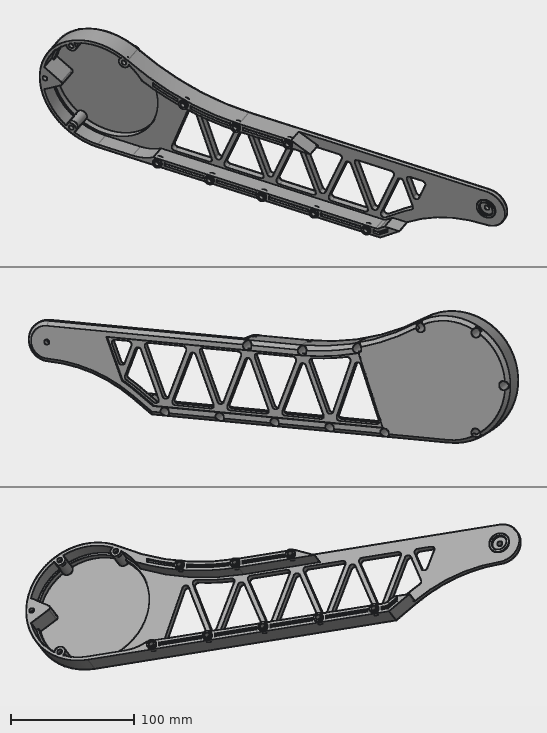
import cadquery as cq
import math


total_length = 419.5
disc_diameter = 106.0
disc_radius = disc_diameter / 2
pivot_span = 349.5
tip_radius = total_length - disc_radius - pivot_span
neck_radius = 197.0
belly_radius = 125.0
belly_angle = math.radians(36)

plate_depth = 7.5
rim_depth = 21.0
boss_depth = 23.0
floor_depth = 2.0
rear_chamfer = 3.5

arm_wall = 8.0
disc_wall = 3.0
pocket_radius = 48.2
relief_flat_end = 32.0
relief_end = 51.0
top_wall_end = 177.5
top_wall_taper = 17.5
ramp_inner_fillet = 6.0
bottom_wall_top = -40.3

screw_pitch = 48.0
first_screw_x = 55.5
bottom_screw_count = 5
top_screw_count = 3
boss_radius = 3.8
hole_radius = 2.0
head_bore_radius = 3.8
head_seat = 4.0
disc_screw_circle = 48.2
disc_boss_radius = 4.5
disc_screw_angles = (60, 120, 240)

pad_tip_x = -30.5
pad_half_angle = math.radians(58)
pad_tip_fillet = 2.0

groove_width = 2.5
groove_depth = 2.5
groove_gap = 6.0
first_top_groove_x = 50.8
ramp_groove_end_x = 266.0

strut_width = 4.0
window_margin = 10.0
window_fillet = 2.73
top_node_count = 5
truss_recess = 1.5
small_window_tip = (285.0, -18.5)

pivot_boss_radius = 8.5
pivot_boss_height = 1.3
pivot_seat_radius = 6.5
pivot_seat_depth = 2.0

neck_centre_z = tip_radius + neck_radius
neck_centre_x = math.sqrt((disc_radius + neck_radius) ** 2 - neck_centre_z ** 2)
belly_centre_z = -tip_radius - belly_radius


def plane_at(depth):
    """Sketch plane facing the front, at a depth from the rear face."""
    return cq.Workplane("XZ").workplane(offset=depth)


def cylinder(x, z, radius, start, end):
    return plane_at(start).center(x, z).circle(radius).extrude(end - start)


def neck_z(x, inset):
    """Height of the top edge, moved inward by inset, at a given x."""
    if x >= neck_centre_x:
        return tip_radius - inset
    return neck_centre_z - math.sqrt((neck_radius + inset) ** 2 - (neck_centre_x - x) ** 2)


def belly_point(angle, inset):
    radius = belly_radius + inset
    return (pivot_span - radius * math.sin(angle), belly_centre_z + radius * math.cos(angle))


def ramp_foot(inset):
    """Corner between the straight bottom edge and the ramp."""
    bottom = -disc_radius + inset
    x, z = belly_point(belly_angle, inset)
    return (x - (z - bottom) / math.tan(belly_angle), bottom)


def outline(inset, start, end):
    """Prism of the arm outline, moved inward by inset."""
    radius = disc_radius - inset
    tip = tip_radius - inset
    lean = math.atan2(neck_centre_x, neck_centre_z)
    disc_end = (radius * math.sin(lean), radius * math.cos(lean))
    neck_mid = (neck_centre_x - (neck_radius + inset) * math.sin(lean / 2),
                neck_centre_z - (neck_radius + inset) * math.cos(lean / 2))
    return (
        plane_at(start)
        .moveTo(0, -radius)
        .threePointArc((-radius, 0), disc_end)
        .threePointArc(neck_mid, (neck_centre_x, tip))
        .lineTo(pivot_span, tip)
        .threePointArc((pivot_span + tip, 0), (pivot_span, -tip))
        .threePointArc(belly_point(belly_angle / 2, inset), belly_point(belly_angle, inset))
        .lineTo(*ramp_foot(inset))
        .close()
        .extrude(end - start)
    )


def screw_x(index):
    """Screw columns sit half a pitch apart, alternating bottom and top."""
    return first_screw_x + index * screw_pitch / 2


def bottom_node(i):
    return (screw_x(2 * i), -disc_radius + arm_wall / 2)


def top_node(i):
    x = screw_x(2 * i + 1)
    return (x, neck_z(x, arm_wall / 2))


strut_slope = (top_node(top_node_count - 1)[1] - bottom_node(0)[1]) / (screw_pitch / 2)


def perimeter_wall():
    """Wall around the disc and along both arm edges, open toward the tip."""
    wall = outline(0, plate_depth, rim_depth)
    foot_x, foot_z = ramp_foot(arm_wall)
    inside = outline(arm_wall, plate_depth, rim_depth)
    foot_edge = cq.selectors.NearestToPointSelector((foot_x, -(plate_depth + rim_depth) / 2, foot_z))
    wall = wall.cut(inside.edges(foot_edge).fillet(ramp_inner_fillet))
    wall = wall.cut(cylinder(0, 0, disc_radius - disc_wall, plate_depth, rim_depth))
    thin_bottom = -disc_radius + disc_wall
    full_bottom = -disc_radius + arm_wall
    relief = (
        plane_at(plate_depth)
        .moveTo(0, thin_bottom)
        .lineTo(relief_flat_end, thin_bottom)
        .tangentArcPoint((relief_end, full_bottom), relative=False)
        .lineTo(relief_end, 0)
        .lineTo(0, 0)
        .close()
        .extrude(rim_depth - plate_depth)
    )
    open_end = (
        plane_at(plate_depth)
        .moveTo(top_wall_end, tip_radius)
        .lineTo(top_wall_end + top_wall_taper, tip_radius - arm_wall)
        .lineTo(top_wall_end + top_wall_taper, bottom_wall_top)
        .lineTo(total_length, bottom_wall_top)
        .lineTo(total_length, tip_radius)
        .close()
        .extrude(rim_depth - plate_depth)
    )
    return wall.cut(relief).cut(open_end)


def locating_pad():
    """Triangular pad pointing inward from the disc's left edge."""
    reach = disc_radius + pad_tip_x
    half = reach * math.tan(math.pi / 2 - pad_half_angle)
    pad = (
        plane_at(floor_depth)
        .polyline([(pad_tip_x, 0), (-disc_radius, half), (-disc_radius, -half)])
        .close()
        .extrude(rim_depth - floor_depth)
        .edges("|Y and >X")
        .fillet(pad_tip_fillet)
    )
    inside = cylinder(0, 0, disc_radius - disc_wall / 2, floor_depth, rim_depth)
    return pad.intersect(inside)


def rounded(blank):
    """Round the corners of an opening by shrinking its outline and growing it back."""
    wire = blank.faces(">Y").wires().val()
    shrunk = wire.offset2D(-window_fillet)[0]
    grown = shrunk.offset2D(window_fillet)[0]
    return plane_at(0).add(grown).toPending().extrude(plate_depth)


def windows():
    """Truss openings: each lies between two struts, inside the margin of the outline, with round corners."""
    band = outline(window_margin, 0, plate_depth)

    def opening(left, tip, right):
        """Triangle on three nodes, its two slanted sides moved in by half a strut."""
        def slide(end):
            """Sideways shift that moves a slanted side in by half a strut."""
            run, rise = abs(end[0] - tip[0]), abs(end[1] - tip[1])
            return strut_width / 2 * math.hypot(run, rise) / rise
        shift_left, shift_right = slide(left), slide(right)

        slope_left = (tip[0] - left[0]) / (tip[1] - left[1])
        slope_right = (tip[0] - right[0]) / (tip[1] - right[1])
        tip_rise = (shift_left + shift_right) / (slope_right - slope_left)
        inner_tip = (tip[0] + shift_left + slope_left * tip_rise, tip[1] + tip_rise)
        points = [(left[0] + shift_left, left[1]), inner_tip, (right[0] - shift_right, right[1])]
        return plane_at(0).polyline(points).close().extrude(plate_depth)

    blanks = []
    for i in range(top_node_count):
        blanks.append(opening(bottom_node(i), top_node(i), bottom_node(i + 1)))
        if i + 1 < top_node_count:
            blanks.append(opening(top_node(i), bottom_node(i + 1), top_node(i + 1)))

    tip_x, tip_z = small_window_tip
    half = (tip_radius - tip_z) / strut_slope
    corners = [(tip_x - half, tip_radius), small_window_tip, (tip_x + half, tip_radius)]
    blanks.append(plane_at(0).polyline(corners).close().extrude(plate_depth))

    return [rounded(blank.intersect(band)) for blank in blanks]


def rear_recess():
    """Shallow rear pocket spanning the truss, bounded by the arm walls."""
    tip_x, tip_z = small_window_tip
    right_x = tip_x + strut_width / 2

    def along(point_x, point_z, z):
        return (point_x + (z - point_z) / strut_slope, z)

    corners = [
        along(*bottom_node(0), -disc_radius),
        bottom_node(0),
        top_node(0),
        along(*top_node(0), disc_radius),
        along(right_x, tip_z, disc_radius),
        along(right_x, tip_z, -disc_radius),
    ]
    span = plane_at(0).polyline(corners).close().extrude(truss_recess)
    return span.intersect(outline(arm_wall, 0, truss_recess))


def grooves():
    """Shallow grooves along the middle of the arm walls, one between each pair of screws."""
    start = rim_depth - groove_depth
    middle = arm_wall / 2
    inner, outer = middle + groove_width / 2, middle - groove_width / 2
    track = outline(outer, start, rim_depth).cut(outline(inner, start, rim_depth))
    middle_z = -disc_radius / 2

    def span(x_start, x_end, z_start, z_end):
        size = (x_end - x_start, z_end - z_start)
        centre = ((x_start + x_end) / 2, (z_start + z_end) / 2)
        return plane_at(start).center(*centre).rect(*size).extrude(groove_depth)

    cuts = []
    bottom_ends = [bottom_node(i)[0] for i in range(bottom_screw_count)]
    bottom_ends.append(ramp_groove_end_x + groove_gap)
    for left, right in zip(bottom_ends, bottom_ends[1:]):
        cuts.append(track.intersect(span(left + groove_gap, right - groove_gap, -disc_radius, middle_z)))
    top_ends = [first_top_groove_x - groove_gap] + [top_node(i)[0] for i in range(top_screw_count)]
    for left, right in zip(top_ends, top_ends[1:]):
        cuts.append(track.intersect(span(left + groove_gap, right - groove_gap, 0, disc_radius)))
    return cuts


arm_screws = [bottom_node(i) for i in range(bottom_screw_count)]
arm_screws += [top_node(i) for i in range(top_screw_count)]
disc_bosses = []
for degrees in disc_screw_angles:
    angle = math.radians(degrees)
    disc_bosses.append((disc_screw_circle * math.cos(angle), disc_screw_circle * math.sin(angle)))
disc_screws = disc_bosses + [(-disc_screw_circle, 0)]

arm = outline(0, 0, plate_depth).faces(">Y").edges().chamfer(rear_chamfer)
arm = arm.cut(cylinder(0, 0, pocket_radius, floor_depth, plate_depth))
arm = arm.union(perimeter_wall())
arm = arm.union(locating_pad())
for x, z in disc_bosses:
    arm = arm.union(cylinder(x, z, disc_boss_radius, floor_depth, rim_depth))
arm = arm.cut(rear_recess())
for window in windows():
    arm = arm.cut(window)
for groove in grooves():
    arm = arm.cut(groove)

for x, z in arm_screws:
    arm = arm.union(cylinder(x, z, boss_radius, rim_depth - groove_depth, boss_depth))
for x, z in arm_screws + disc_screws:
    arm = arm.cut(cylinder(x, z, hole_radius, 0, boss_depth))
    arm = arm.cut(cylinder(x, z, head_bore_radius, 0, rim_depth - head_seat))

pivot_face = plate_depth + pivot_boss_height
arm = arm.union(cylinder(pivot_span, 0, pivot_boss_radius, 0, pivot_face))
arm = arm.cut(cylinder(pivot_span, 0, pivot_seat_radius, pivot_face - pivot_seat_depth, pivot_face))
arm = arm.cut(cylinder(pivot_span, 0, hole_radius, 0, pivot_face))

result = arm